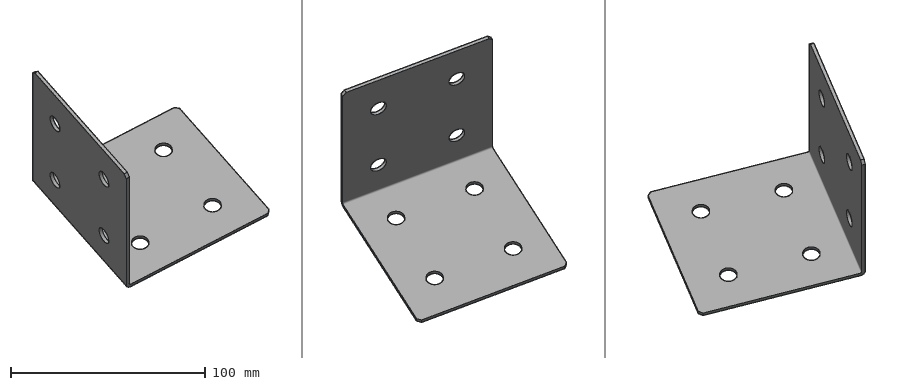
import cadquery as cq

leg_length = 90.0
width = 86.0
thickness = 2.0
inner_bend_radius = 1.0
corner_chamfer = 2.0
hole_diameter = 9.0
hole_spacing = 45.0

outer_bend_radius = inner_bend_radius + thickness
leg_middle = leg_length / 2


def bent_sheet():
    """L-shaped sheet, outer bend corner on the X axis, centred on X."""
    profile = (
        cq.Workplane("YZ")
        .polyline([
            (0, 0),
            (leg_length, 0),
            (leg_length, thickness),
            (thickness, thickness),
            (thickness, leg_length),
            (0, leg_length),
        ])
        .close()
    )
    sheet = profile.extrude(width / 2, both=True)
    inner_edge = cq.selectors.NearestToPointSelector((0, thickness, thickness))
    sheet = sheet.edges(inner_edge).fillet(inner_bend_radius)
    outer_edge = cq.selectors.NearestToPointSelector((0, 0, 0))
    return sheet.edges(outer_edge).fillet(outer_bend_radius)


def hole_pattern(plane, depth):
    """Square pattern of four hole cutters, centred on a leg."""
    return (
        cq.Workplane(plane)
        .center(0, leg_middle)
        .rect(hole_spacing, hole_spacing, forConstruction=True)
        .vertices()
        .circle(hole_diameter / 2)
        .extrude(depth)
    )


bracket = bent_sheet()

bracket = bracket.faces(">Z").edges("|Y").chamfer(corner_chamfer)
bracket = bracket.faces(">Y").edges("|Z").chamfer(corner_chamfer)

bracket = bracket.cut(hole_pattern("XZ", -thickness))
result = bracket.cut(hole_pattern("XY", thickness))